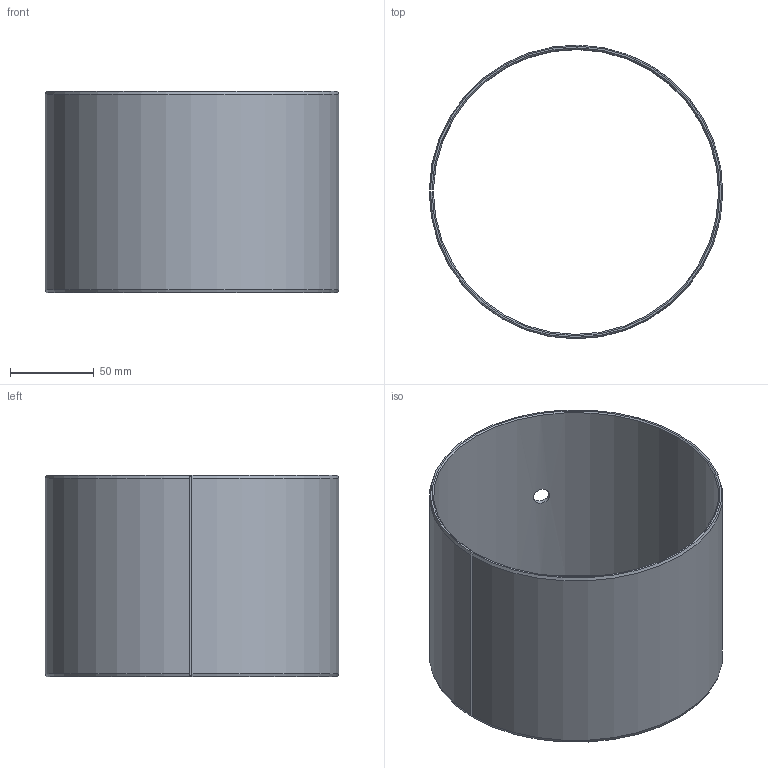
import cadquery as cq
import math

OUTER_DIAMETER = 175.0
WALL_THICKNESS = 2.5
HEIGHT = 120.0

OUTER_BEVEL_WIDTH = 0.65
OUTER_BEVEL_HEIGHT = 1.8
INNER_BEVEL = 0.8

SEAM_GAP_ANGLE = 1.0

HOLE_DIAMETER = 10.0
HOLE_ANGLE = 59.0

FULL_TURN = 360.0
outer_radius = OUTER_DIAMETER / 2
inner_radius = outer_radius - WALL_THICKNESS
half_height = HEIGHT / 2


def make_open_tube():
    """Wall section on the -X side, revolved about Z up to the seam gap."""
    outer_bevel_z = half_height - OUTER_BEVEL_HEIGHT
    inner_bevel_z = half_height - INNER_BEVEL
    section = [
        (-outer_radius, -outer_bevel_z),
        (-outer_radius, outer_bevel_z),
        (-outer_radius + OUTER_BEVEL_WIDTH, half_height),
        (-inner_radius - INNER_BEVEL, half_height),
        (-inner_radius, inner_bevel_z),
        (-inner_radius, -inner_bevel_z),
        (-inner_radius - INNER_BEVEL, -half_height),
        (-outer_radius + OUTER_BEVEL_WIDTH, -half_height),
    ]
    return (
        cq.Workplane("XZ")
        .polyline(section)
        .close()
        .revolve(FULL_TURN - SEAM_GAP_ANGLE, (0, 0, 0), (0, 1, 0))
    )


def make_hole_cutter():
    """Radial cylinder from the tube axis out past the wall."""
    angle = math.radians(HOLE_ANGLE)
    direction = cq.Vector(math.cos(angle), math.sin(angle), 0)
    cylinder = cq.Solid.makeCylinder(HOLE_DIAMETER / 2, OUTER_DIAMETER, cq.Vector(0, 0, 0), direction)
    return cq.Workplane(cylinder)


result = make_open_tube().cut(make_hole_cutter())